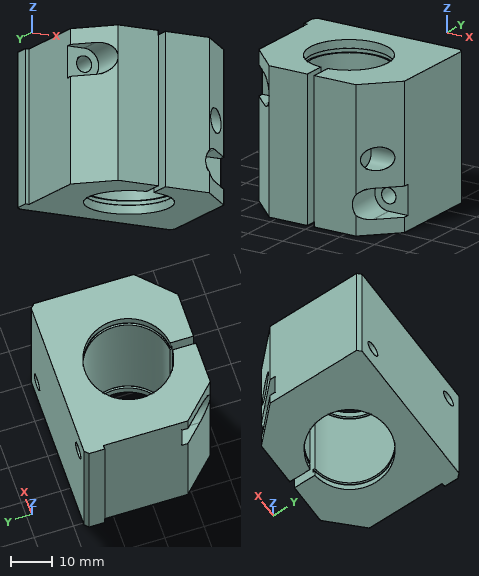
import cadquery as cq

width = 43.0
depth = 35.0
height = 39.0
front_chamfer = 8.5
back_chamfer = 1.0
lip_width = 1.0
lip_depth = 5.0

bore_diameter = 22.0
bore_x = width / 2
bore_y = 17.0
slot_width = 1.98
groove_diameter = 23.0
groove_width = 1.1
groove_inset = 2.3

mount_diameter = 4.13
mount_offset = 16.0
mount_inset = 8.0
pocket_width = 8.0
pocket_depth = 10.0

recess_diameter = 6.0
recess_y = 3.83
recess_floor_x = width - front_chamfer


def make_block():
    outline = [
        (lip_width + front_chamfer, 0),
        (width - front_chamfer, 0),
        (width, front_chamfer),
        (width, depth - back_chamfer),
        (width - back_chamfer, depth),
        (back_chamfer, depth),
        (0, depth - back_chamfer),
        (0, depth - lip_depth),
        (lip_width, depth - lip_depth),
        (lip_width, front_chamfer),
    ]
    return cq.Workplane("XY").polyline(outline).close().extrude(height)


def bore_cylinder(diameter, bottom, length):
    plane = cq.Workplane("XY", origin=(bore_x, bore_y, bottom))
    return plane.circle(diameter / 2).extrude(length)


def mounting_cut(side, z):
    """Through hole and side-opening pocket; side is -1 for left, 1 for right."""
    x = bore_x + side * mount_offset
    front = cq.Workplane("XZ", origin=(x, 0, z))
    hole = front.circle(mount_diameter / 2).extrude(-depth)
    pocket_end = front.circle(pocket_width / 2).extrude(-pocket_depth)
    run_out = width / 2 - mount_offset
    pocket_side = (
        front.center(side * run_out / 2, 0)
        .rect(run_out, pocket_width)
        .extrude(-pocket_depth)
    )
    return hole.union(pocket_end).union(pocket_side)


result = make_block()

result = result.cut(bore_cylinder(bore_diameter, 0, height))
for groove_bottom in (groove_inset, height - groove_inset - groove_width):
    result = result.cut(bore_cylinder(groove_diameter, groove_bottom, groove_width))

slot = cq.Workplane("XY").box(slot_width, bore_y, height, centered=(True, False, False))
result = result.cut(slot.translate((bore_x, 0, 0)))

result = result.cut(mounting_cut(-1, height - mount_inset))
result = result.cut(mounting_cut(1, mount_inset))

recess = (
    cq.Workplane("YZ", origin=(recess_floor_x, recess_y, height / 2))
    .circle(recess_diameter / 2)
    .extrude(width - recess_floor_x)
)
result = result.cut(recess)